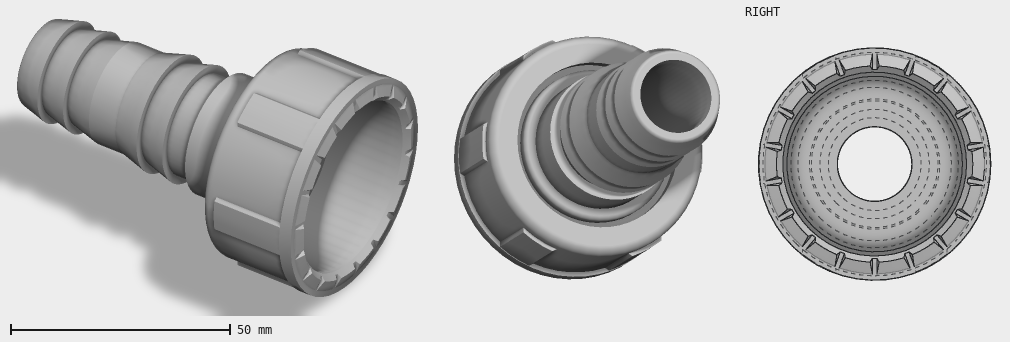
import cadquery as cq
import math

TOTAL_LENGTH = 86.1

TAIL_BORE_RADIUS = 17.0 / 2
BARB_PITCH = 7.02
SMALL_BARB_COUNT = 3
SMALL_BARB_ROOT_RADIUS = 10.6
STEM_RADIUS = 25.0 / 2
LARGE_BARB_START = 28.3
LARGE_BARB_COUNT = 2
LARGE_BARB_RADIUS = 14.5
TIP_FILLET = 0.8
SHANK_START = 48.8
SHANK_RADIUS = 29.7 / 2
COLLAR_START = 60.1
COLLAR_RADIUS = 35.0 / 2
COLLAR_FILLET = 1.0

NUT_START = 60.3
NUT_RADIUS = 51.0 / 2
NUT_FRONT_FILLET = 2.0
NUT_HOLE_RADIUS = 38.2 / 2
NUT_BORE_RADIUS = 41.9 / 2
LIP_THICKNESS = 3.0
RIM_RADIUS = 53.0 / 2
RIM_START = 82.05
RIM_END = 85.2

SHOULDER_RADIUS = 40.0 / 2
SHOULDER_START = NUT_START + LIP_THICKNESS
SHOULDER_THICKNESS = 3.0

CROWN_BASE_RADIUS = 25.05
CROWN_RIDGE_RADIUS = 22.4
TOOTH_COUNT = 18
NOTCH_FLOOR_WIDTH = 1.0
NOTCH_TOP_WIDTH = 2.1

PAD_COUNT = 6
PAD_START = 64.1
PAD_RADIUS = 26.35
PAD_TOP_WIDTH = 8.0
PAD_FOOT_WIDTH = 9.1
PAD_SINK = 0.9


def revolve_about_x(outline):
    """Full turn of a closed (x, radius) outline about the X axis."""
    return outline.close().revolve(360, (0, 0, 0), (1, 0, 0))


def add_barbs(outline, start, count, root_radius, crest_radius):
    """Saw-tooth run: each barb widens from root to crest over one pitch."""
    for i in range(count):
        barb_start = start + i * BARB_PITCH
        outline = outline.lineTo(barb_start, root_radius)
        outline = outline.lineTo(barb_start + BARB_PITCH, crest_radius)
    return outline


def outer_edge(body):
    """Largest circular edge of the body's front (-X) face."""
    return body.faces("<X").edges(cq.selectors.RadiusNthSelector(-1))


def make_tail():
    outline = cq.Workplane("XY").moveTo(0, TAIL_BORE_RADIUS)
    outline = add_barbs(outline, 0, SMALL_BARB_COUNT, SMALL_BARB_ROOT_RADIUS, STEM_RADIUS)
    outline = add_barbs(outline, LARGE_BARB_START, LARGE_BARB_COUNT, STEM_RADIUS, LARGE_BARB_RADIUS)
    large_barb_end = LARGE_BARB_START + LARGE_BARB_COUNT * BARB_PITCH
    shoulder_end = SHOULDER_START + SHOULDER_THICKNESS
    outline = (
        outline.lineTo(large_barb_end, STEM_RADIUS)
        .lineTo(SHANK_START, STEM_RADIUS)
        .lineTo(SHANK_START, SHANK_RADIUS)
        .lineTo(COLLAR_START, SHANK_RADIUS)
        .lineTo(COLLAR_START, COLLAR_RADIUS - COLLAR_FILLET)
        .tangentArcPoint((COLLAR_START + COLLAR_FILLET, COLLAR_RADIUS), relative=False)
        .lineTo(SHOULDER_START, COLLAR_RADIUS)
        .lineTo(SHOULDER_START, SHOULDER_RADIUS)
        .lineTo(shoulder_end, SHOULDER_RADIUS)
        .lineTo(shoulder_end, TAIL_BORE_RADIUS)
    )
    return outer_edge(revolve_about_x(outline)).fillet(TIP_FILLET)


def make_nut_body():
    lip_end = NUT_START + LIP_THICKNESS
    lead_in_start = TOTAL_LENGTH - (CROWN_RIDGE_RADIUS - NUT_BORE_RADIUS)
    outline = (
        cq.Workplane("XY")
        .moveTo(NUT_START, NUT_HOLE_RADIUS)
        .lineTo(NUT_START, NUT_RADIUS)
        .lineTo(RIM_START, NUT_RADIUS)
        .lineTo(RIM_START, RIM_RADIUS)
        .lineTo(RIM_END, RIM_RADIUS)
        .lineTo(RIM_END, CROWN_BASE_RADIUS)
        .lineTo(TOTAL_LENGTH, CROWN_RIDGE_RADIUS)
        .lineTo(lead_in_start, NUT_BORE_RADIUS)
        .lineTo(lip_end, NUT_BORE_RADIUS)
        .lineTo(lip_end, NUT_HOLE_RADIUS)
    )
    return outer_edge(revolve_about_x(outline)).fillet(NUT_FRONT_FILLET)


def make_grip_pad():
    """Pad on the -Y side: flanks taper outward, top follows a cylinder about the axis."""
    foot_depth = math.sqrt(NUT_RADIUS**2 - (PAD_FOOT_WIDTH / 2) ** 2)
    top_depth = math.sqrt(PAD_RADIUS**2 - (PAD_TOP_WIDTH / 2) ** 2)
    pad_length = RIM_START - PAD_START
    inner_depth = foot_depth - PAD_SINK
    return (
        cq.Workplane("YZ", origin=(PAD_START, 0, 0))
        .moveTo(-inner_depth, -PAD_FOOT_WIDTH / 2)
        .lineTo(-foot_depth, -PAD_FOOT_WIDTH / 2)
        .lineTo(-top_depth, -PAD_TOP_WIDTH / 2)
        .threePointArc((-PAD_RADIUS, 0), (-top_depth, PAD_TOP_WIDTH / 2))
        .lineTo(-foot_depth, PAD_FOOT_WIDTH / 2)
        .lineTo(-inner_depth, PAD_FOOT_WIDTH / 2)
        .close()
        .extrude(pad_length)
    )


def make_notch_bar():
    """Bar along Z that cuts two opposite notches through the crown."""
    return (
        cq.Workplane("XY", origin=(0, 0, -RIM_RADIUS))
        .moveTo(RIM_END, -NOTCH_FLOOR_WIDTH / 2)
        .lineTo(TOTAL_LENGTH, -NOTCH_TOP_WIDTH / 2)
        .lineTo(TOTAL_LENGTH, NOTCH_TOP_WIDTH / 2)
        .lineTo(RIM_END, NOTCH_FLOOR_WIDTH / 2)
        .close()
        .extrude(2 * RIM_RADIUS)
    )


def make_nut():
    nut = make_nut_body()
    pad = make_grip_pad()
    for i in range(PAD_COUNT):
        nut = nut.union(pad.rotate((0, 0, 0), (1, 0, 0), i * 360 / PAD_COUNT))
    notch_bar = make_notch_bar()
    for i in range(TOOTH_COUNT // 2):
        nut = nut.cut(notch_bar.rotate((0, 0, 0), (1, 0, 0), i * 360 / TOOTH_COUNT))
    return nut


tail = make_tail()
nut = make_nut()
result = cq.Compound.makeCompound([tail.solids().val(), nut.solids().val()])